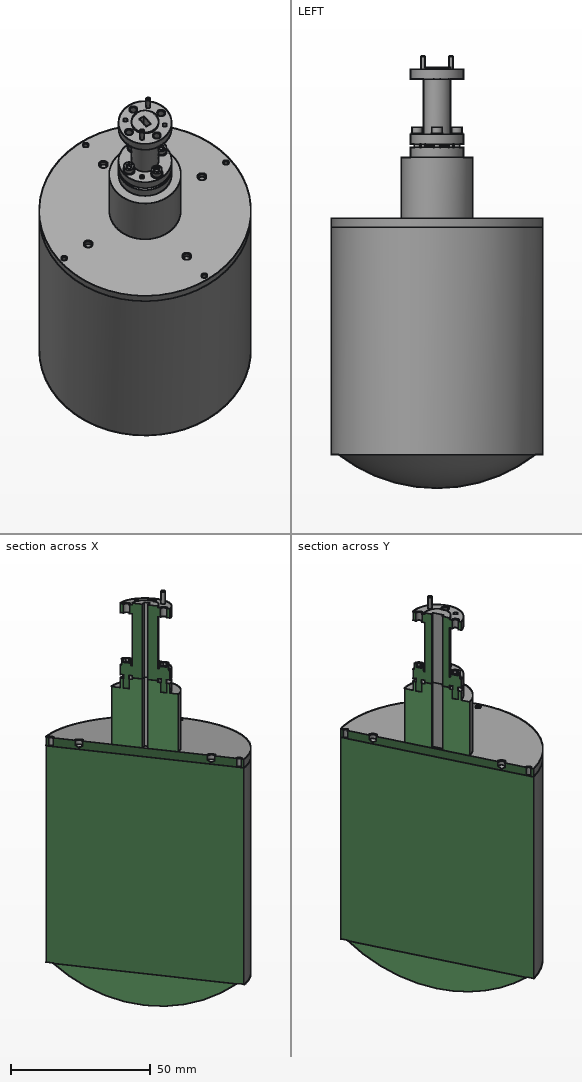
import cadquery as cq
import math


HOLE_CHAMFER = 0.3
CHAMFER_ANGLE = 45.0

BARREL_DIA = 76.1
LENS_DIA = 70.8
LENS_HEIGHT = 12.1
BARREL_LENGTH = 81.7

PLATE_THICKNESS = 3.3
RIM_HOLE_DIA = 1.5
RIM_HOLE_CIRCLE_DIA = 72.1
MOUNT_HOLE_DIA = 2.6
MOUNT_HOLE_CIRCLE_DIA = 50.7
MOUNT_HOLE_DEPTH = 1.9
DRILL_TIP_ANGLE = 118.0

NECK_DIA = 25.8
NECK_HEIGHT = 21.8

FLANGE_DIA = 19.1
FLANGE_THICKNESS = 3.5
FLANGE_GAP = 1.2
BOSS_DIA = 9.8
BOSS_HEIGHT = FLANGE_GAP / 2
BOLT_CIRCLE_DIA = 14.3
BOLT_HOLE_DIA = 2.3

TUBE_DIA = 9.8
BORE_WIDTH = 4.2
BORE_HEIGHT = 2.0

PIN_DIA = 1.5
PIN_CHAMFER = 0.3
PIN_LENGTH = FLANGE_GAP + FLANGE_THICKNESS
SCREW_SHANK_DIA = 2.2
SCREW_HEAD_DIA = 3.7
SCREW_HEAD_HEIGHT = 2.5
SCREW_COLLAR_DIA = 4.2
SCREW_COLLAR_HEIGHT = 0.3
SOCKET_WIDTH = 2.0
SOCKET_DEPTH = 1.2

TOTAL_HEIGHT = 155.4
BARREL_BOTTOM = LENS_HEIGHT
PLATE_BOTTOM = BARREL_BOTTOM + BARREL_LENGTH
PLATE_TOP = PLATE_BOTTOM + PLATE_THICKNESS
NECK_TOP = PLATE_TOP + NECK_HEIGHT
NECK_FLANGE_TOP = NECK_TOP + FLANGE_THICKNESS
LOWER_FLANGE_BOTTOM = NECK_FLANGE_TOP + FLANGE_GAP
LOWER_FLANGE_TOP = LOWER_FLANGE_BOTTOM + FLANGE_THICKNESS
UPPER_FLANGE_TOP = TOTAL_HEIGHT - PIN_LENGTH
UPPER_FLANGE_BOTTOM = UPPER_FLANGE_TOP - FLANGE_THICKNESS
MATING_PLANE = NECK_FLANGE_TOP + BOSS_HEIGHT

AXIS_ANGLES = (0, 90, 180, 270)
RISING_DIAGONAL = (45, 225)
FALLING_DIAGONAL = (135, 315)


def disc(diameter, bottom, top):
    """Solid cylinder on the Z axis between two heights."""
    return cq.Workplane("XY").workplane(offset=bottom).circle(diameter / 2).extrude(top - bottom)


def polar_points(circle_dia, angles):
    """Points at the given angles on a circle about the Z axis."""
    radius = circle_dia / 2
    return [
        (radius * math.cos(math.radians(angle)), radius * math.sin(math.radians(angle)))
        for angle in angles
    ]


def round_posts(diameter, circle_dia, angles, bottom, top):
    """Cylinders parallel to Z, used for screws and plain holes."""
    points = polar_points(circle_dia, angles)
    plane = cq.Workplane("XY").workplane(offset=bottom)
    return plane.pushPoints(points).circle(diameter / 2).extrude(top - bottom)


def chamfered_holes(diameter, circle_dia, bottom, top):
    """Cutters for four holes on the X and Y axes, each flared at its upper mouth."""
    holes = round_posts(diameter, circle_dia, AXIS_ANGLES, bottom, top)
    mouth_dia = diameter + 2 * HOLE_CHAMFER
    mouths = (
        cq.Workplane("XY")
        .workplane(offset=top)
        .pushPoints(polar_points(circle_dia, AXIS_ANGLES))
        .circle(mouth_dia / 2)
        .extrude(-HOLE_CHAMFER, taper=CHAMFER_ANGLE)
    )
    return holes.union(mouths)


def dowel_pins(angles, bottom, top):
    """Dowel pins on the bolt circle, chamfered at the upper end."""
    pins = round_posts(PIN_DIA, BOLT_CIRCLE_DIA, angles, bottom, top)
    return pins.faces(">Z").chamfer(PIN_CHAMFER)


def pin_holes(angles, bottom, top):
    """Cutters for the holes that receive dowel pins."""
    return round_posts(PIN_DIA, BOLT_CIRCLE_DIA, angles, bottom, top)


def bore(bottom, top):
    """Rectangular waveguide bore between two heights."""
    return cq.Workplane("XY").workplane(offset=bottom).rect(BORE_WIDTH, BORE_HEIGHT).extrude(top - bottom)


def make_lens():
    """Convex spherical cap with a flat seat against the barrel."""
    rim_radius = LENS_DIA / 2
    sphere_radius = (rim_radius**2 + LENS_HEIGHT**2) / (2 * LENS_HEIGHT)
    half_angle = math.asin(rim_radius / sphere_radius) / 2
    arc_middle = (
        sphere_radius * math.sin(half_angle),
        sphere_radius * (1 - math.cos(half_angle)),
    )
    profile = (
        cq.Workplane("XZ")
        .moveTo(0, 0)
        .threePointArc(arc_middle, (rim_radius, LENS_HEIGHT))
        .lineTo(0, LENS_HEIGHT)
        .close()
    )
    return profile.revolve(360, (0, 0, 0), (0, 1, 0))


def make_barrel():
    """Plain cylindrical body."""
    return disc(BARREL_DIA, BARREL_BOTTOM, PLATE_BOTTOM)


def drilled_hole(x, y):
    """Cutter for a blind mounting hole with a chamfered mouth and a conical drill tip."""
    radius = MOUNT_HOLE_DIA / 2
    tip_height = radius / math.tan(math.radians(DRILL_TIP_ANGLE / 2))
    profile = cq.Workplane("XZ").polyline([
        (0, 0),
        (radius + HOLE_CHAMFER, 0),
        (radius, -HOLE_CHAMFER),
        (radius, -MOUNT_HOLE_DEPTH),
        (0, -MOUNT_HOLE_DEPTH - tip_height),
    ]).close()
    return profile.revolve(360, (0, 0, 0), (0, 1, 0)).translate((x, y, PLATE_TOP))


def make_plate():
    """Cover plate with through holes at the rim and blind holes further in."""
    plate = disc(BARREL_DIA, PLATE_BOTTOM, PLATE_TOP)
    plate = plate.cut(
        chamfered_holes(RIM_HOLE_DIA, RIM_HOLE_CIRCLE_DIA, PLATE_BOTTOM, PLATE_TOP)
    )
    for x, y in polar_points(MOUNT_HOLE_CIRCLE_DIA, AXIS_ANGLES):
        plate = plate.cut(drilled_hole(x, y))
    return plate


def make_neck():
    """Neck and its flange, with two pins and with holes for the waveguide's pins and screws."""
    neck = disc(NECK_DIA, PLATE_TOP, NECK_TOP)
    neck = neck.union(disc(FLANGE_DIA, NECK_TOP, NECK_FLANGE_TOP))
    neck = neck.union(disc(BOSS_DIA, NECK_FLANGE_TOP, MATING_PLANE))
    neck = neck.union(dowel_pins(FALLING_DIAGONAL, NECK_TOP, LOWER_FLANGE_TOP))
    neck = neck.cut(pin_holes(RISING_DIAGONAL, NECK_TOP, NECK_FLANGE_TOP))
    neck = neck.cut(
        round_posts(SCREW_SHANK_DIA, BOLT_CIRCLE_DIA, AXIS_ANGLES, NECK_TOP, NECK_FLANGE_TOP)
    )
    return neck.cut(bore(PLATE_TOP, MATING_PLANE))


def captive_screws():
    """Socket head screws with collars that run through the lower flange into the neck flange."""
    head_top = LOWER_FLANGE_TOP + SCREW_HEAD_HEIGHT
    shanks = round_posts(SCREW_SHANK_DIA, BOLT_CIRCLE_DIA, AXIS_ANGLES, NECK_TOP, LOWER_FLANGE_TOP)
    heads = round_posts(SCREW_HEAD_DIA, BOLT_CIRCLE_DIA, AXIS_ANGLES, LOWER_FLANGE_TOP, head_top)
    collars = round_posts(
        SCREW_COLLAR_DIA,
        BOLT_CIRCLE_DIA,
        AXIS_ANGLES,
        LOWER_FLANGE_TOP,
        LOWER_FLANGE_TOP + SCREW_COLLAR_HEIGHT,
    )
    sockets = (
        cq.Workplane("XY")
        .workplane(offset=head_top)
        .pushPoints(polar_points(BOLT_CIRCLE_DIA, AXIS_ANGLES))
        .polygon(6, SOCKET_WIDTH, circumscribed=True)
        .extrude(-SOCKET_DEPTH)
    )
    return shanks.union(collars).union(heads).cut(sockets)


def make_waveguide():
    """Waveguide tube with a flange at each end, its pins and its captive screws."""
    guide = disc(TUBE_DIA, LOWER_FLANGE_TOP, UPPER_FLANGE_BOTTOM)
    guide = guide.union(disc(FLANGE_DIA, LOWER_FLANGE_BOTTOM, LOWER_FLANGE_TOP))
    guide = guide.union(disc(BOSS_DIA, MATING_PLANE, LOWER_FLANGE_BOTTOM))
    guide = guide.union(disc(FLANGE_DIA, UPPER_FLANGE_BOTTOM, UPPER_FLANGE_TOP))
    guide = guide.union(disc(BOSS_DIA, UPPER_FLANGE_TOP, UPPER_FLANGE_TOP + BOSS_HEIGHT))

    guide = guide.cut(
        chamfered_holes(BOLT_HOLE_DIA, BOLT_CIRCLE_DIA, UPPER_FLANGE_BOTTOM, UPPER_FLANGE_TOP)
    )
    guide = guide.cut(pin_holes(RISING_DIAGONAL, UPPER_FLANGE_BOTTOM, UPPER_FLANGE_TOP))
    guide = guide.cut(pin_holes(FALLING_DIAGONAL, LOWER_FLANGE_BOTTOM, LOWER_FLANGE_TOP))

    guide = guide.union(dowel_pins(FALLING_DIAGONAL, UPPER_FLANGE_TOP, TOTAL_HEIGHT))
    guide = guide.union(
        round_posts(PIN_DIA, BOLT_CIRCLE_DIA, RISING_DIAGONAL, NECK_TOP, LOWER_FLANGE_BOTTOM)
    )
    guide = guide.union(captive_screws())

    return guide.cut(bore(MATING_PLANE, UPPER_FLANGE_TOP + BOSS_HEIGHT))


lens = make_lens()
barrel = make_barrel()
plate = make_plate()
neck = make_neck()
waveguide = make_waveguide()

result = cq.Compound.makeCompound([
    lens.solids().val(),
    barrel.solids().val(),
    plate.solids().val(),
    neck.solids().val(),
    waveguide.solids().val(),
])